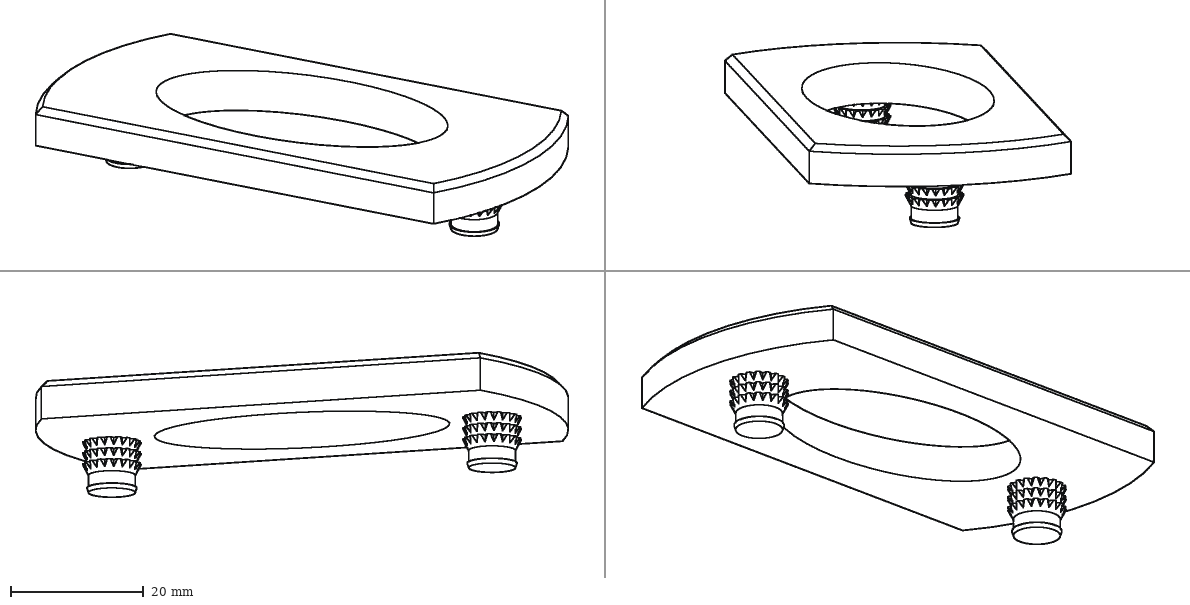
import cadquery as cq

plate_length = 80.0
plate_width = 40.0
plate_thickness = 6.0
plate_chamfer = 1.0

opening_length = 48.0
opening_width = 28.0
opening_inset = 1.1

pin_spacing = 60.0
pin_length = 7.7
pin_diameter = 7.0
pin_radius = pin_diameter / 2
row_count = 3
row_height = 1.7
row_top_radius = 4.4
tip_rim_radius = 3.8
tip_height = 0.7

notch_count = 18
notch_root_radius = 3.8
notch_reach = 0.8
notch_width = 1.6
first_notch_angle = 92.0


def make_plate():
    disc = cq.Workplane("XY").circle(plate_length / 2).extrude(plate_thickness)
    strip = cq.Workplane("XY").rect(plate_length, plate_width).extrude(plate_thickness)
    plate = disc.intersect(strip)
    return plate.faces(">Z").edges().chamfer(plate_chamfer)


def make_opening():
    return (
        cq.Workplane("XY")
        .ellipse(opening_length / 2 - opening_inset, opening_width / 2 - opening_inset)
        .workplane(offset=plate_thickness)
        .ellipse(opening_length / 2, opening_width / 2)
        .loft(ruled=True)
    )


def make_pin_body():
    """Stem with barb rows that each narrow downwards, and a tapered tip below a small rim."""
    profile = cq.Workplane("XZ").moveTo(0, 0)
    for row in range(row_count):
        profile = profile.lineTo(row_top_radius, -row * row_height)
        profile = profile.lineTo(pin_radius, -(row + 1) * row_height)
    rim_z = tip_height - pin_length
    profile = (
        profile.lineTo(pin_radius, rim_z)
        .lineTo(tip_rim_radius, rim_z)
        .lineTo(pin_radius, -pin_length)
        .lineTo(0, -pin_length)
        .close()
    )
    return profile.revolve(360, (0, 0, 0), (0, 1, 0))


def make_notch():
    """Upright wedge that opens outwards and runs past all barb rows."""
    mouth_radius = notch_root_radius + notch_reach
    corners = [
        (notch_root_radius, 0),
        (mouth_radius, -notch_width / 2),
        (mouth_radius, notch_width / 2),
    ]
    return (
        cq.Workplane("XY")
        .polyline(corners)
        .close()
        .extrude(-row_count * row_height)
        .rotate((0, 0, 0), (0, 0, 1), first_notch_angle)
    )


def make_pin():
    pin = make_pin_body()
    notch = make_notch()
    for index in range(notch_count):
        pin = pin.cut(notch.rotate((0, 0, 0), (0, 0, 1), index * 360 / notch_count))
    return pin


pin = make_pin()
result = make_plate().cut(make_opening())
for side in (-1, 1):
    result = result.union(pin.translate((side * pin_spacing / 2, 0, 0)))